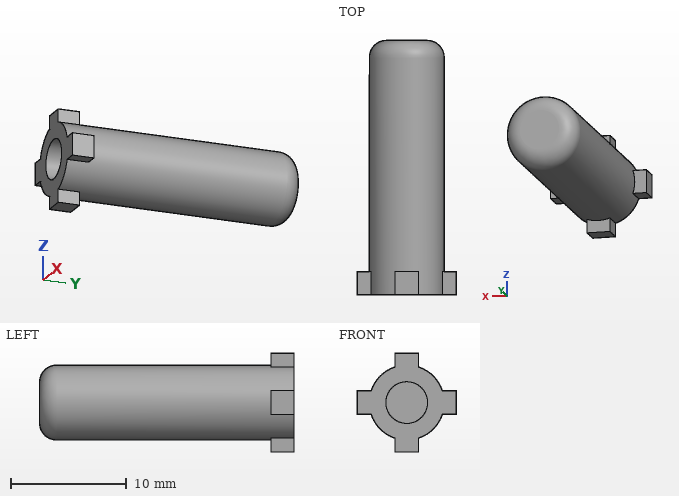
import cadquery as cq

length = 22.0
body_diameter = 6.5
end_radius = 1.5

bore_diameter = 3.6
bore_depth = 2.0

lug_span = 8.55
lug_width = 2.05
lug_length = 2.0


def along_y(size):
    """Extrusion distance toward +Y; the XZ workplane normal points to -Y."""
    return -size


def make_body():
    body = cq.Workplane("XZ").circle(body_diameter / 2).extrude(along_y(length))
    return body.faces(">Y").edges().fillet(end_radius)


def make_lug_bar(size_x, size_z):
    """Bar through the axis whose two ends form a pair of opposite lugs."""
    return cq.Workplane("XZ").rect(size_x, size_z).extrude(along_y(lug_length))


def make_bore():
    return cq.Workplane("XZ").circle(bore_diameter / 2).extrude(along_y(bore_depth))


result = (
    make_body()
    .union(make_lug_bar(lug_span, lug_width))
    .union(make_lug_bar(lug_width, lug_span))
    .cut(make_bore())
)